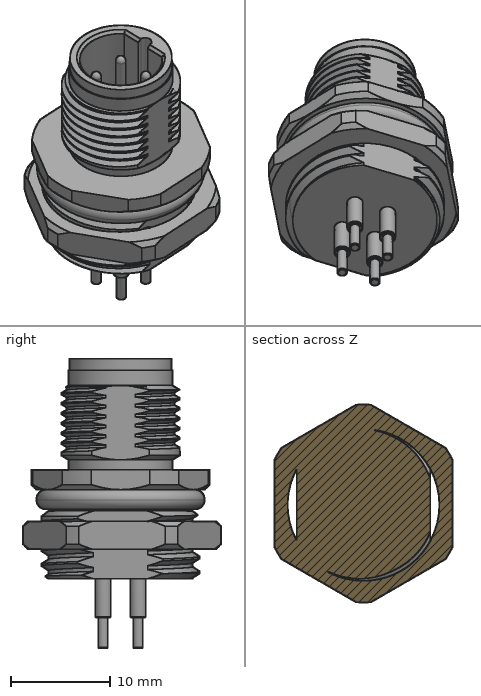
import cadquery as cq
import math


FLANGE_BOTTOM = 9.0
FLANGE_TOP = 11.0
FLANGE_ACROSS_FLATS = 17.0
FLANGE_CORNER_DIAMETER = 18.0
HEX_CHAMFER = 0.5

NUT_BOTTOM = 3.0
NUT_TOP = 5.8
NUT_ACROSS_FLATS = 18.0
NUT_CORNER_DIAMETER = 20.0
NUT_OFFSET_Y = 0.15

MOUNT_RADIUS = 8.0
MOUNT_PITCH = 1.5
MOUNT_THREAD_DEPTH = 0.72
MOUNT_TOP = 6.85
MOUNT_CHAMFER_HEIGHT = 0.55
MOUNT_WIDTH_OVER_FLATS = 13.5
MOUNT_GROOVE_END = 6.28
MOUNT_GROOVE_TURNS = 5

O_RING_OUTER_RADIUS = 8.5
O_RING_SECTION_RADIUS = 1.0
SEAL_NECK_RADIUS = 6.7

PLUG_RADIUS = 6.0
PLUG_PITCH = 1.0
PLUG_THREAD_DEPTH = 0.54
PLUG_THREAD_BOTTOM = 12.0
PLUG_THREAD_TOP = 19.5
PLUG_CHAMFER_HEIGHT = 0.45
PLUG_WIDTH_OVER_FLATS = 10.5
PLUG_GROOVE_START = 12.92
PLUG_GROOVE_TURNS = 8
SLEEVE_RADIUS = PLUG_WIDTH_OVER_FLATS / 2
SLEEVE_TOP = 21.05
RIM_RADIUS = 5.15
RIM_TOP = 22.2

SOCKET_RADIUS = 4.15
SOCKET_FLAT_Y = 3.18
SOCKET_CHAMFER = 0.3
SOCKET_FLOOR = 13.0
KEYWAY_RADIUS = 0.65
KEYWAY_CENTRE_Y = 3.48

PIN_CIRCLE_RADIUS = 2.5
PIN_COUNT = 4
FIRST_PIN_ANGLE = math.radians(45)
PIN_RADIUS = 0.5
PIN_TIP = 20.25
SOLDER_PIN_RADIUS = 0.5
SOLDER_PIN_BOTTOM = -7.0
PIN_SHANK_RADIUS = 0.8
PIN_SHANK_BOTTOM = -3.9
PIN_SHANK_TOP = SOCKET_FLOOR - 1
PIN_CHAMFER = 0.1

GROOVE_MOUTH = 7 / 8
GROOVE_ROOT = 1 / 4
GROOVE_OVERCUT = 0.2


def cylinder(radius, bottom, top):
    return cq.Workplane("XY").workplane(offset=bottom).circle(radius).extrude(top - bottom)


def hexagon(across_flats, bottom, top):
    """Hexagonal prism with flats facing +X and -X."""
    corner_diameter = across_flats / math.cos(math.pi / 6)
    prism = cq.Workplane("XY").workplane(offset=bottom).polygon(6, corner_diameter).extrude(top - bottom)
    return prism.rotate((0, 0, 0), (0, 0, 1), 30)


def thread_groove(radius, pitch, depth, start, turns):
    """Right-handed groove cutter that starts on the -X side at the given height."""
    root = radius - depth
    slope = (GROOVE_MOUTH - GROOVE_ROOT) * pitch / 2 / depth
    root_half = GROOVE_ROOT * pitch / 2
    outer_half = root_half + slope * (depth + GROOVE_OVERCUT)
    outer = radius + GROOVE_OVERCUT
    profile = [
        (root, -root_half),
        (outer, -outer_half),
        (outer, outer_half),
        (root, root_half),
    ]
    helix = cq.Workplane(obj=cq.Wire.makeHelix(pitch, turns * pitch, radius))
    groove = cq.Workplane("XZ").polyline(profile).close().sweep(helix, isFrenet=True)
    return groove.rotate((0, 0, 0), (0, 0, 1), 180).translate((0, 0, start))


def threaded_stud(radius, bottom, top, chamfer_height, end_radius, groove, width):
    """Grooved cylinder with conical ends and two flats facing +X and -X."""
    stud = cylinder(radius, bottom, top).cut(groove)
    envelope = (
        cq.Workplane("XZ")
        .moveTo(0, bottom)
        .lineTo(end_radius, bottom)
        .lineTo(radius, bottom + chamfer_height)
        .lineTo(radius, top - chamfer_height)
        .lineTo(end_radius, top)
        .lineTo(0, top)
        .close()
        .revolve(360, (0, 0), (0, 1))
    )
    slab = cq.Workplane("XY").workplane(offset=bottom).rect(width, 4 * radius).extrude(top - bottom)
    return stud.intersect(envelope).intersect(slab)


def make_flange():
    turned = cylinder(FLANGE_CORNER_DIAMETER / 2, FLANGE_BOTTOM, FLANGE_TOP)
    turned = turned.faces("<Z").chamfer(HEX_CHAMFER)
    return hexagon(FLANGE_ACROSS_FLATS, FLANGE_BOTTOM, FLANGE_TOP).intersect(turned)


def make_nut():
    turned = cylinder(NUT_CORNER_DIAMETER / 2, NUT_BOTTOM, NUT_TOP).edges().chamfer(HEX_CHAMFER)
    nut = hexagon(NUT_ACROSS_FLATS, NUT_BOTTOM, NUT_TOP).intersect(turned)
    bore_radius = MOUNT_RADIUS - MOUNT_THREAD_DEPTH / 2
    nut = nut.translate((0, NUT_OFFSET_Y, 0))
    return nut.cut(cylinder(bore_radius, NUT_BOTTOM, NUT_TOP))


def make_mount():
    start = MOUNT_GROOVE_END - MOUNT_GROOVE_TURNS * MOUNT_PITCH
    groove = thread_groove(MOUNT_RADIUS, MOUNT_PITCH, MOUNT_THREAD_DEPTH, start, MOUNT_GROOVE_TURNS)
    root = MOUNT_RADIUS - MOUNT_THREAD_DEPTH
    return threaded_stud(
        MOUNT_RADIUS, 0, MOUNT_TOP, MOUNT_CHAMFER_HEIGHT, root, groove, MOUNT_WIDTH_OVER_FLATS
    )


def make_o_ring():
    ring_radius = O_RING_OUTER_RADIUS - O_RING_SECTION_RADIUS
    section = cq.Workplane("XZ").center(ring_radius, FLANGE_BOTTOM - O_RING_SECTION_RADIUS)
    return section.circle(O_RING_SECTION_RADIUS).revolve(360, (-ring_radius, 0), (-ring_radius, 1))


def make_plug():
    groove = thread_groove(PLUG_RADIUS, PLUG_PITCH, PLUG_THREAD_DEPTH, PLUG_GROOVE_START, PLUG_GROOVE_TURNS)
    thread = threaded_stud(
        PLUG_RADIUS,
        PLUG_THREAD_BOTTOM,
        PLUG_THREAD_TOP,
        PLUG_CHAMFER_HEIGHT,
        SLEEVE_RADIUS,
        groove,
        PLUG_WIDTH_OVER_FLATS,
    )
    plug = thread.union(cylinder(SLEEVE_RADIUS, FLANGE_TOP, SLEEVE_TOP))
    return plug.union(cylinder(RIM_RADIUS, SLEEVE_TOP, RIM_TOP))


def socket_outline(height):
    flat_half = math.sqrt(SOCKET_RADIUS**2 - SOCKET_FLAT_Y**2)
    outline = cq.Workplane("XY").workplane(offset=height).moveTo(-flat_half, SOCKET_FLAT_Y)
    return outline.threePointArc((0, -SOCKET_RADIUS), (flat_half, SOCKET_FLAT_Y)).close()


def make_socket():
    """Cavity for the upper end of the plug, with a flared mouth and a keyway."""
    depth = RIM_TOP - SOCKET_FLOOR
    cavity = socket_outline(SOCKET_FLOOR).extrude(depth)
    mouth = socket_outline(RIM_TOP - SOCKET_CHAMFER).extrude(SOCKET_CHAMFER, taper=-45)
    keyway = cq.Workplane("XY").workplane(offset=SOCKET_FLOOR).center(0, KEYWAY_CENTRE_Y)
    round_back = keyway.circle(KEYWAY_RADIUS).extrude(depth)
    width = 2 * KEYWAY_RADIUS
    channel = keyway.center(0, -KEYWAY_RADIUS).rect(width, width).extrude(depth)
    return cavity.union(mouth).union(round_back).union(channel)


def make_pin():
    """Contact with a domed upper end, a thicker shank and a thin solder end."""
    dome_centre = PIN_TIP - PIN_RADIUS
    contact = cylinder(PIN_RADIUS, PIN_SHANK_TOP, dome_centre)
    dome = cq.Workplane("XY").sphere(PIN_RADIUS).translate((0, 0, dome_centre))
    shank = cylinder(PIN_SHANK_RADIUS, PIN_SHANK_BOTTOM, PIN_SHANK_TOP).faces("<Z").chamfer(PIN_CHAMFER)
    solder_end = cylinder(SOLDER_PIN_RADIUS, SOLDER_PIN_BOTTOM, 0).faces("<Z").chamfer(PIN_CHAMFER)
    return contact.union(dome).union(shank).union(solder_end)


result = make_mount().union(make_nut())
result = result.union(cylinder(SEAL_NECK_RADIUS, MOUNT_TOP, FLANGE_BOTTOM))
result = result.union(make_o_ring()).union(make_flange()).union(make_plug())
result = result.cut(make_socket())
for index in range(PIN_COUNT):
    angle = FIRST_PIN_ANGLE + index * 2 * math.pi / PIN_COUNT
    position = (PIN_CIRCLE_RADIUS * math.cos(angle), PIN_CIRCLE_RADIUS * math.sin(angle), 0)
    result = result.union(make_pin().translate(position))